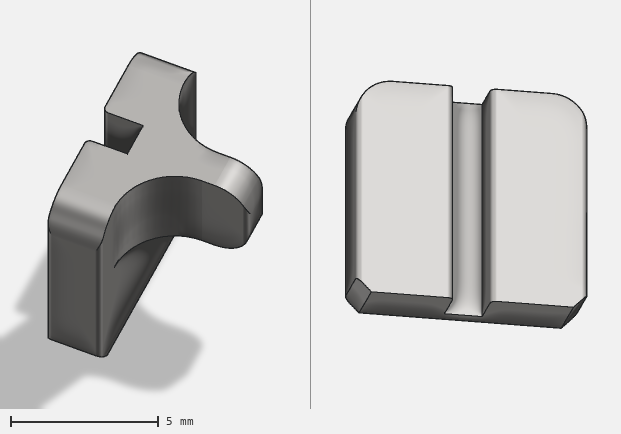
import cadquery as cq

length_x = 6.0
width_y = 8.0
height_z = 7.7

plate_thickness = 2.03
slot_depth = 1.5
slot_width = 1.3
bottom_chamfer = 0.5

rib_thickness = 1.3
rib_height = 3.4
web_radius = 2.25

corner_radius = 1.25
edge_radius = 0.2

half_rib = rib_thickness / 2
rib_bottom = height_z - rib_height


def make_plate():
    """Full-height plate with rounded vertical edges."""
    plate = cq.Workplane("XY").box(plate_thickness, width_y, height_z, centered=(False, True, False))
    return plate.edges("|Z").fillet(edge_radius)


def make_outline():
    """Solid bounding the whole part along X: rounded top corners, chamfered bottom corners."""
    outline = cq.Workplane("XY").box(length_x, width_y, height_z, centered=(False, True, False))
    outline = outline.edges("|X and >Z").fillet(corner_radius)
    return outline.edges("|X and <Z").chamfer(bottom_chamfer)


def make_rib():
    """Rib with a rounded free end, starting inside the plate behind the slot."""
    rib_length = length_x - slot_depth
    blank = (
        cq.Workplane("XY", origin=(slot_depth, 0, rib_bottom))
        .box(rib_length, rib_thickness, rib_height, centered=(False, True, False))
    )
    rounded_edges = blank.edges("|Z and >X").fillet(edge_radius)
    rounded_end = blank.edges("|Y and >X").fillet(corner_radius)
    return rounded_edges.intersect(rounded_end)


def make_web(side):
    """Concave quarter-round web joining the plate to one side of the rib."""
    web_end_x = plate_thickness + web_radius
    web_end_y = half_rib + web_radius
    arc_inset = web_radius * (1 - 0.5 ** 0.5)
    return (
        cq.Workplane("XY", origin=(0, 0, rib_bottom))
        .moveTo(slot_depth, 0)
        .lineTo(web_end_x, 0)
        .lineTo(web_end_x, side * half_rib)
        .threePointArc(
            (plate_thickness + arc_inset, side * (half_rib + arc_inset)),
            (plate_thickness, side * web_end_y),
        )
        .lineTo(slot_depth, side * web_end_y)
        .close()
        .extrude(rib_height)
    )


def cut_slot(body):
    """Cut the full-height slot and round its two mouth edges."""
    slot = cq.Workplane("XY").box(slot_depth, slot_width, height_z, centered=(False, True, False))
    mouth_edges = cq.selectors.BoxSelector(
        (-edge_radius, -slot_width, 0),
        (edge_radius, slot_width, height_z),
    )
    return body.cut(slot).edges("|Z").edges(mouth_edges).fillet(edge_radius)


body = make_plate().union(make_rib())
for side in (-1, 1):
    body = body.union(make_web(side))
result = cut_slot(body.intersect(make_outline()))